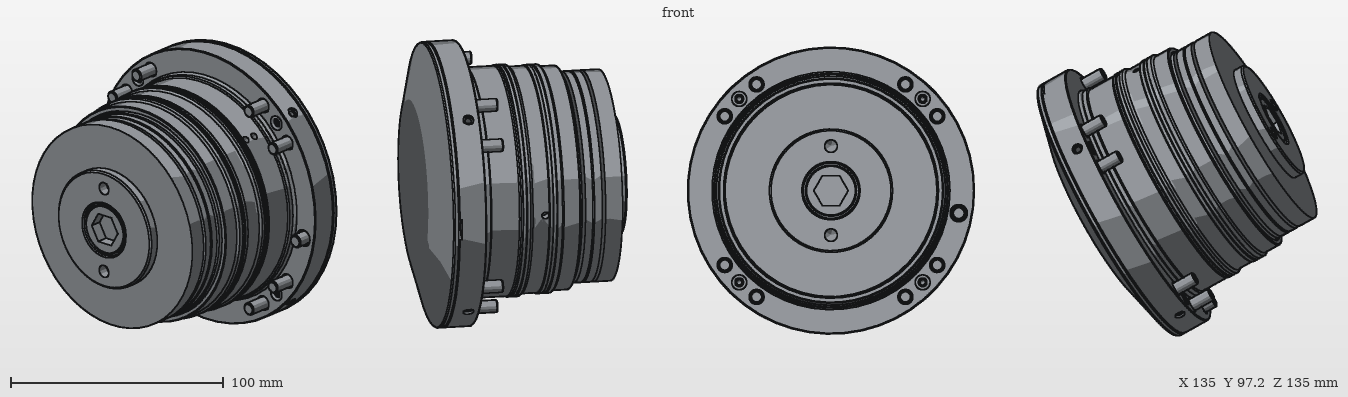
import cadquery as cq
import math


flange_radius = 67.5
cap_top = 23.2
cap_flat_radius = 40.8
cap_bevel_radius = 43.5
cap_bevel_drop = 0.5
cap_rim_bevel = 0.4
cap_cone_base = 15.8
cap_rim_top = 15.0
joint_top = 13.4
joint_width = 0.7
joint_depth = 0.3
flange_edge = 0.4

seal_radius = 56.0
land_radius = 55.2
collar_radius = 54.4
band_1_radius = 54.8
band_1_foot_radius = 53.9
mid_radius = 53.6
band_2_radius = 54.0
nose_radius = 52.9
disc_radius = 50.0
disc_touch_radius = 30.6
boss_radius = 29.0

seal_end = 1.5
land_end = 4.2
land_foot = 4.7
collar_end = 18.0
band_1_start = 18.8
band_1_end = 23.4
band_1_foot = 24.6
mid_start = 25.6
mid_end = 32.3
band_2_start = 32.7
band_2_end = 38.6
nose_start = 39.5
nose_end = 47.5
nose_chamfer = 0.4
ledge_end = 48.7
disc_1_start = 50.4
disc_1_end = 58.3
disc_2_start = 60.0
disc_2_end = 68.0
disc_crown = 1.1
boss_end = 74.0
boss_chamfer = 0.8

groove_depth = 1.0
ring_1_centre = 20.8
ring_2_centre = 35.4
ring_groove_width = 2.0
ring_section_radius = 0.8
seal_groove_radius = 54.3
seal_groove_width = 0.4
seal_bulge = 0.4
disc_slit_centre = 54.3
disc_slit_width = 0.8
disc_slit_depth = 0.3
nose_bore_radius = 50.6
nose_gap_depth = 1.4

bolt_circle_radius = 61.0
quadrant_angles = (45, 135, 225, 315)
screw_spread = 10
screw_diameter = 6.0
screw_length = 10.7
screw_tip_chamfer = 0.5
stud_hole_diameter = 7.0
stud_gap_depth = 2.7
locating_pin_angle = -10
locating_pin_diameter = 6.2
locating_pin_length = 6.1
locating_pin_tip_chamfer = 0.5
pin_hole_chamfer = 0.5
oil_hole_diameter = 2.5
oil_hole_depth = 8.1
oil_mouth_diameter = 4.0
oil_mouth_depth = 2.2
oil_seal_diameter = 7.0
oil_seal_seat_depth = 1.2
oil_seal_squeeze = 0.1
drill_point_angle = 118

port_diameter = 3.0
port_mouth_diameter = 4.9
port_mouth_depth = 1.4
port_depth = 6.8
port_height = 5.3
offset_port_height = 6.8
offset_port_angle = 45
pry_diameter = 10.0
pry_bottom = 11.7
vent_diameter = 3.2
vent_depth = 5.4
collar_vent_angle = 45
collar_vent_stations = (10.5, 16.3)
mid_vent_angle = 180
mid_vent_station = 30.5

cut_clearance = 1.4

plug_diameter = 24.0
plug_chamfer = 0.5
plug_recess = 0.5
plug_bore_diameter = 26.0
plug_bore_chamfer = 0.7
plug_gap_depth = 2.0
hex_across_flats = 14.0
hex_depth = 5.7
spanner_hole_diameter = 6.0
spanner_hole_offset = 20.9
spanner_hole_depth = 5.4


def drum(radius, start, end):
    """Cylinder on the part axis between two stations."""
    return ring_face(start).circle(radius).extrude(end - start)


def ring_face(station, x=0.0, z=0.0):
    """Work plane facing -Y at a station, centred at x, z."""
    return cq.Workplane("XZ", origin=(x, -station, z))


def annulus(outer_radius, inner_radius, start, end):
    return drum(outer_radius, start, end).cut(drum(inner_radius, start, end))


def polar(angle, radius=bolt_circle_radius):
    """X and Z of a point at an angle around the part axis."""
    turn = math.radians(angle)
    return radius * math.cos(turn), radius * math.sin(turn)


def frustum(x, z, start, start_radius, height, end_radius):
    """Cone along -Y from a station, negative height runs along +Y."""
    direction = cq.Vector(0, -math.copysign(1, height), 0)
    cone = cq.Solid.makeCone(start_radius, end_radius, abs(height), cq.Vector(x, -start, z), direction)
    return cq.Workplane(cone)


def drilled_hole(diameter, depth, x, z, station):
    """Blind hole along +Y with a drill point."""
    radius = diameter / 2
    point = radius / math.tan(math.radians(drill_point_angle / 2))
    bore = ring_face(station, x, z).circle(radius).extrude(-depth)
    return bore.union(frustum(x, z, station - depth, radius, -point, 0))


def radial_hole(diameter, depth, surface_radius, angle, y):
    """Blind hole drilled towards the axis, started clear of the surface."""
    x, z = polar(angle, surface_radius + cut_clearance)
    start = cq.Vector(x, y, z)
    inward = cq.Vector(-x, 0, -z)
    return cq.Workplane(cq.Solid.makeCylinder(diameter / 2, depth + cut_clearance, start, inward))


def turned_body():
    outline = (
        cq.Workplane("XY")
        .moveTo(0, cap_top)
        .lineTo(cap_flat_radius, cap_top)
        .lineTo(cap_bevel_radius, cap_top - cap_bevel_drop)
        .lineTo(flange_radius - cap_rim_bevel, cap_cone_base)
        .lineTo(flange_radius, cap_rim_top)
        .lineTo(flange_radius, flange_edge)
        .lineTo(flange_radius - flange_edge, 0)
        .lineTo(seal_radius, 0)
        .sagittaArc((seal_groove_radius, -seal_end), seal_bulge)
        .lineTo(seal_groove_radius, -seal_end - seal_groove_width)
        .lineTo(land_radius, -seal_end - seal_groove_width)
        .lineTo(land_radius, -land_end)
        .lineTo(collar_radius, -land_foot)
        .lineTo(collar_radius, -collar_end)
        .lineTo(band_1_radius, -band_1_start)
        .lineTo(band_1_radius, -band_1_end)
        .lineTo(band_1_foot_radius, -band_1_foot)
        .lineTo(mid_radius, -mid_start)
        .lineTo(mid_radius, -mid_end)
        .lineTo(band_2_radius, -band_2_start)
        .lineTo(band_2_radius, -band_2_end)
        .lineTo(nose_radius, -nose_start)
        .lineTo(nose_radius, -nose_end + nose_chamfer)
        .lineTo(nose_radius - nose_chamfer, -nose_end)
        .lineTo(disc_radius, -nose_end)
        .lineTo(disc_radius, -ledge_end)
        .lineTo(disc_touch_radius, -(ledge_end + disc_1_start) / 2)
        .lineTo(disc_radius, -disc_1_start)
        .lineTo(disc_radius, -disc_1_end)
        .lineTo(disc_touch_radius, -(disc_1_end + disc_2_start) / 2)
        .lineTo(disc_radius, -disc_2_start)
        .lineTo(disc_radius, -disc_2_end)
        .lineTo(boss_radius, -disc_2_end - disc_crown)
        .lineTo(boss_radius, -boss_end + boss_chamfer)
        .lineTo(boss_radius - boss_chamfer, -boss_end)
        .lineTo(0, -boss_end)
        .close()
    )
    return outline.revolve(360, (0, 0, 0), (0, 1, 0))


def cut_slit(body, radius, centre, width, depth):
    return body.cut(annulus(radius + cut_clearance, radius - depth, centre - width / 2, centre + width / 2))


def add_sealing_ring(body, radius, centre):
    """Groove in a band, with a round ring standing level with the band."""
    grooved = cut_slit(body, radius, centre, ring_groove_width, groove_depth)
    ring = (
        cq.Workplane("XY")
        .center(radius - ring_section_radius, -centre)
        .circle(ring_section_radius)
        .revolve(360, (-radius + ring_section_radius, 0, 0), (-radius + ring_section_radius, 1, 0))
    )
    return grooved.union(ring)


def add_grooves(body):
    body = cut_slit(body, flange_radius, -joint_top + joint_width / 2, joint_width, joint_depth)
    body = cut_slit(body, disc_radius, disc_slit_centre, disc_slit_width, disc_slit_depth)
    body = body.cut(annulus(nose_bore_radius, disc_radius, nose_end - nose_gap_depth, nose_end))
    body = add_sealing_ring(body, band_1_radius, ring_1_centre)
    return add_sealing_ring(body, band_2_radius, ring_2_centre)


def add_stud(body, angle, diameter, length, tip_chamfer):
    """Round stud standing in a shallow clearance hole of the flange seat."""
    x, z = polar(angle)
    hole = ring_face(0, x, z).circle(stud_hole_diameter / 2).extrude(-stud_gap_depth)
    stud = ring_face(-stud_gap_depth, x, z).circle(diameter / 2).extrude(length + stud_gap_depth)
    return body.cut(hole).union(stud.faces("<Y").chamfer(tip_chamfer))


def add_oil_hole(body, x, z):
    """Stepped blind hole with a round ring pressed into its mouth, slightly proud of the flange."""
    free_section_radius = (oil_seal_diameter - oil_mouth_diameter) / 4
    section_radius = free_section_radius + oil_seal_squeeze
    ring_radius = (oil_seal_diameter + oil_mouth_diameter) / 4
    ring_centre = cq.Vector(x, oil_seal_seat_depth - free_section_radius, z)
    ring = cq.Solid.makeTorus(ring_radius, section_radius, ring_centre, cq.Vector(0, 1, 0))
    body = body.cut(ring_face(0, x, z).circle(oil_seal_diameter / 2).extrude(-oil_seal_seat_depth))
    body = body.cut(ring_face(0, x, z).circle(oil_mouth_diameter / 2).extrude(-oil_mouth_depth))
    body = body.cut(drilled_hole(oil_hole_diameter, oil_hole_depth, x, z, 0))
    return body.union(cq.Workplane(ring))


def add_flange_fittings(body):
    for quadrant in quadrant_angles:
        for side in (-screw_spread, screw_spread):
            body = add_stud(body, quadrant + side, screw_diameter, screw_length, screw_tip_chamfer)
        x, z = polar(quadrant)
        body = add_oil_hole(body, x, z)

    x, z = polar(locating_pin_angle)
    hole_radius = stud_hole_diameter / 2
    body = body.cut(frustum(x, z, 0, hole_radius + pin_hole_chamfer, -pin_hole_chamfer, hole_radius))
    return add_stud(
        body,
        locating_pin_angle,
        locating_pin_diameter,
        locating_pin_length,
        locating_pin_tip_chamfer,
    )


def cut_radial_holes(body):
    for angle in quadrant_angles:
        y = offset_port_height if angle == offset_port_angle else port_height
        body = body.cut(radial_hole(port_mouth_diameter, port_mouth_depth, flange_radius, angle, y))
        body = body.cut(radial_hole(port_diameter, port_depth, flange_radius, angle, y))
    for station in collar_vent_stations:
        body = body.cut(radial_hole(vent_diameter, vent_depth, collar_radius, collar_vent_angle, -station))
    body = body.cut(radial_hole(vent_diameter, vent_depth, mid_radius, mid_vent_angle, -mid_vent_station))

    pry = ring_face(-pry_bottom, -flange_radius, 0).circle(pry_diameter / 2).extrude(pry_bottom - joint_top)
    return body.cut(pry)


def finish_boss_face(body):
    bore_radius = plug_bore_diameter / 2
    plug_radius = plug_diameter / 2
    gap_floor = boss_end - plug_gap_depth
    plug_face = boss_end - plug_recess
    recess = drum(bore_radius, gap_floor, boss_end)
    recess = recess.union(
        frustum(0, 0, boss_end, bore_radius + plug_bore_chamfer, -plug_bore_chamfer, bore_radius)
    )
    plug = drum(plug_radius, gap_floor, plug_face).faces("<Y").chamfer(plug_chamfer)
    body = body.cut(recess).union(plug)

    hex_across_corners = hex_across_flats / math.cos(math.radians(30))
    body = body.cut(ring_face(plug_face).polygon(6, hex_across_corners).extrude(-hex_depth))
    for z in (-spanner_hole_offset, spanner_hole_offset):
        body = body.cut(drilled_hole(spanner_hole_diameter, spanner_hole_depth, 0, z, boss_end))
    return body


result = turned_body()
result = add_grooves(result)
result = add_flange_fittings(result)
result = cut_radial_holes(result)
result = finish_boss_face(result)